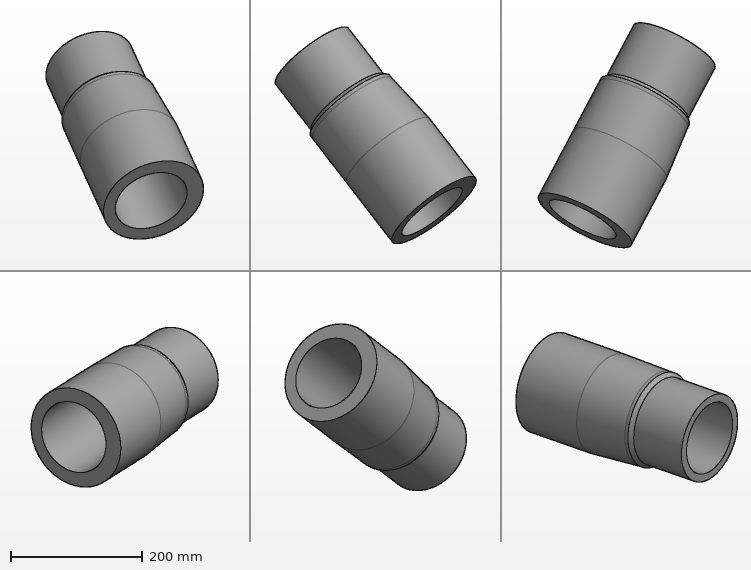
import cadquery as cq

total_length = 308.0
large_diameter = 160.0
collar_diameter = 152.0
small_diameter = 140.0
bore_diameter = 114.5

chamfer_start = 91.8
collar_start = 98.3
taper_start = 104.0
taper_end = 191.0

small_axis_y = -(large_diameter - collar_diameter) / 2


def section(x, center_y, diameter):
    """Circle across the axis at position x."""
    return cq.Workplane("YZ", origin=(x, center_y, 0)).circle(diameter / 2)


def pipe(start, end, center_y, diameter):
    """Straight round length between two places on the axis."""
    return section(start, center_y, diameter).extrude(end - start)


def transition(start, end, start_y, end_y, start_diameter, end_diameter):
    """Taper between two circles, which may be off-centre from each other."""
    return (
        section(start, start_y, start_diameter)
        .workplane(offset=end - start)
        .center(end_y - start_y, 0)
        .circle(end_diameter / 2)
        .loft(ruled=True, combine=True)
    )


small_pipe = pipe(0, chamfer_start, small_axis_y, small_diameter)
chamfer = transition(
    chamfer_start, collar_start, small_axis_y, small_axis_y, small_diameter, collar_diameter
)
collar = pipe(collar_start, taper_start, small_axis_y, collar_diameter)
taper = transition(taper_start, taper_end, small_axis_y, 0, collar_diameter, large_diameter)
large_pipe = pipe(taper_end, total_length, 0, large_diameter)

bore = pipe(0, total_length, small_axis_y, bore_diameter)

result = small_pipe.union(chamfer).union(collar).union(taper).union(large_pipe).cut(bore)